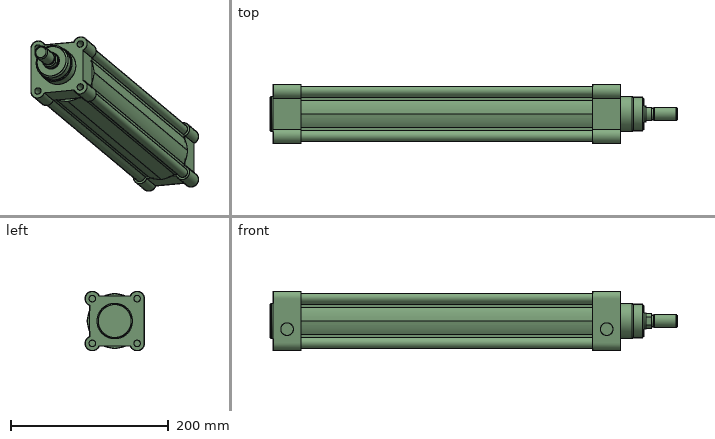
import cadquery as cq
import math


rear_cap_start = 3.5
cap_length = 35.5
front_cap_start = 408.0
boss_end = 459.5
nose_end = 473.0
rod_step = 475.5
shoulder_end = 483.0
thread_start = 485.0
rod_end = 515.5
rear_cap_end = rear_cap_start + cap_length
front_cap_end = front_cap_start + cap_length

cap_width = 75.0
bolt_spacing = 56.5
waist_width = 63.5
half_width = cap_width / 2
lobe_radius = (cap_width - bolt_spacing) / 2
bolt_hole_diameter = 8.0
bolt_hole_depth = 18.0
port_diameter = 16.0
port_depth = 15.5
port_z = -10.5
boss_diameter = 45.0
boss_chamfer = 1.5
nose_diameter = 43.0
nose_chamfer = 2.0

tube_radius = 34.5
ridge_height = 35.0
ridge_half_width = 5
channel_floor = 30.0
rail_spacing = 57.0
rail_radius = 6.0

rod_diameter = 20.5
shoulder_diameter = 19.5
flats_width = 17.0
neck_diameter = 15.0
thread_diameter = 17.0
thread_chamfer = 1.5


def disc(start, end, diameter):
    """Cylinder on the X axis between two stations."""
    return cq.Workplane("YZ", origin=(start, 0, 0)).circle(diameter / 2).extrude(end - start)


def cap_block(start):
    """Cap with waisted sides between four round lobes, filled out flat on the port side (-Y)."""
    plane = cq.Workplane("YZ", origin=(start, 0, 0))
    core = plane.rect(waist_width, waist_width).extrude(cap_length)
    lobes = plane.rect(bolt_spacing, bolt_spacing, forConstruction=True)
    lobes = lobes.vertices().circle(lobe_radius).extrude(cap_length)
    port_side = plane.center((lobe_radius - cap_width) / 2, 0)
    port_side = port_side.rect(lobe_radius, bolt_spacing).extrude(cap_length)
    return core.union(lobes).union(port_side)


def bolt_holes(start):
    """Four blind-hole cutters running in +X from a station."""
    pattern = cq.Workplane("YZ", origin=(start, 0, 0))
    pattern = pattern.rect(bolt_spacing, bolt_spacing, forConstruction=True)
    return pattern.vertices().circle(bolt_hole_diameter / 2).extrude(bolt_hole_depth)


def port(start):
    """Air port cutter, midway along a cap, sunk from its -Y face."""
    plane = cq.Workplane("XZ", origin=(start + cap_length / 2, -half_width, port_z))
    return plane.circle(port_diameter / 2).extrude(-port_depth)


def make_rear_cap():
    boss = disc(0, rear_cap_start, boss_diameter).faces("<X").chamfer(boss_chamfer)
    cap = cap_block(rear_cap_start).union(boss)
    return cap.cut(bolt_holes(rear_cap_start)).cut(port(rear_cap_start))


def make_front_cap():
    boss = disc(front_cap_end, boss_end, boss_diameter).faces(">X").chamfer(boss_chamfer)
    nose = disc(boss_end, nose_end, nose_diameter).faces(">X").chamfer(nose_chamfer)
    cap = cap_block(front_cap_start).union(boss).union(nose)
    return cap.cut(bolt_holes(front_cap_end - bolt_hole_depth)).cut(port(front_cap_start))


def make_barrel():
    """Extrusion with a ridged bulge on each side and a round rail at each corner."""
    rail_tangent = rail_radius * math.sqrt(0.5)
    rail_near = rail_spacing / 2 - rail_tangent
    rail_far = rail_spacing / 2 + rail_tangent
    channel_outer = rail_near - (rail_far - channel_floor)
    channel_inner = math.sqrt(tube_radius**2 - channel_floor**2)
    ridge_foot = math.sqrt(tube_radius**2 - ridge_half_width**2)
    ridge_angle = math.asin(ridge_half_width / tube_radius)
    channel_angle = math.asin(channel_inner / tube_radius)
    middle_angle = (ridge_angle + channel_angle) / 2
    bulge_y = tube_radius * math.sin(middle_angle)
    bulge_z = tube_radius * math.cos(middle_angle)

    def turned(point, quarter_turns):
        """Point on the +Z side moved clockwise by quarter turns."""
        y, z = point
        for _ in range(quarter_turns):
            y, z = z, -y
        return (y, z)

    outline = cq.Workplane("YZ", origin=(rear_cap_end, 0, 0)).moveTo(-rail_near, rail_far)
    for side in range(4):
        outline = (
            outline.lineTo(*turned((-channel_outer, channel_floor), side))
            .lineTo(*turned((-channel_inner, channel_floor), side))
            .threePointArc(turned((-bulge_y, bulge_z), side), turned((-ridge_half_width, ridge_foot), side))
            .lineTo(*turned((0, ridge_height), side))
            .lineTo(*turned((ridge_half_width, ridge_foot), side))
            .threePointArc(turned((bulge_y, bulge_z), side), turned((channel_inner, channel_floor), side))
            .lineTo(*turned((channel_outer, channel_floor), side))
            .lineTo(*turned((rail_near, rail_far), side))
            .threePointArc(turned((rail_far, rail_far), side), turned((rail_far, rail_near), side))
        )
    return outline.close().extrude(front_cap_start - rear_cap_end)


def make_rod():
    """Round rod, shoulder with two wrench flats facing -Y and +Y, neck and thread."""
    rod_body = disc(nose_end, rod_step, rod_diameter)
    shoulder = disc(rod_step, shoulder_end, shoulder_diameter)
    flats_length = shoulder_end - rod_step
    for side in (-1, 1):
        center_y = side * (flats_width + shoulder_diameter) / 2
        flat = cq.Workplane("XY", origin=(rod_step + flats_length / 2, center_y, 0))
        shoulder = shoulder.cut(flat.box(flats_length, shoulder_diameter, shoulder_diameter))
    neck = disc(shoulder_end, thread_start, neck_diameter)
    thread = disc(thread_start, rod_end, thread_diameter).faces("<X or >X").chamfer(thread_chamfer)
    return rod_body.union(shoulder).union(neck).union(thread)


rear_cap = make_rear_cap()
barrel = make_barrel()
front_cap = make_front_cap()
rod = make_rod()

result = cq.Compound.makeCompound([rear_cap.val(), barrel.val(), front_cap.val(), rod.val()])